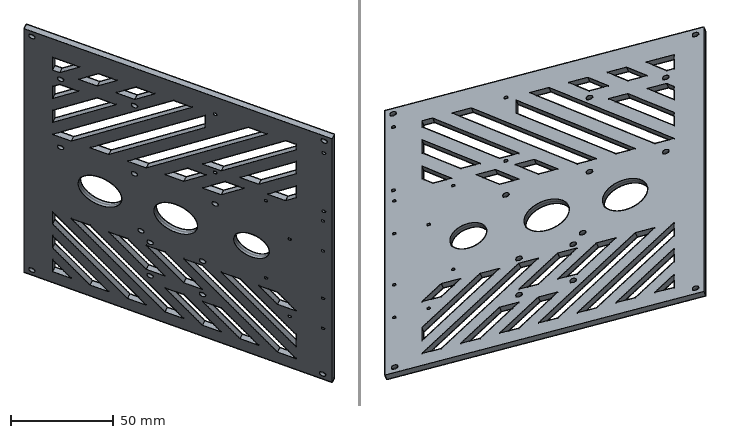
import cadquery as cq

WIDTH = 164.5
THICKNESS = 3.0
HEIGHT = 204.2

VENT_LEFT = -67.0
VENT_WIDTH = 130.0
VENT_RIGHT = VENT_LEFT + VENT_WIDTH
SLOT_WIDTH = 10.0
SLOT_PITCH = 2 * SLOT_WIDTH

UPPER_TOP = 86.5
UPPER_HEIGHT = 64.5
UPPER_BOTTOM = UPPER_TOP - UPPER_HEIGHT
LOWER_TOP = -42.9
LOWER_HEIGHT = 50.0
LOWER_BOTTOM = LOWER_TOP - LOWER_HEIGHT

UPPER_LEFT_BAR_TOP = 76.0
UPPER_LEFT_BAR_BOTTOM = UPPER_LEFT_BAR_TOP - SLOT_WIDTH
UPPER_RIGHT_BAR_TOP = 42.0
UPPER_RIGHT_BAR_BOTTOM = 34.0
LAST_SLOT_BOTTOM = 36.3
LAST_SLOT_WIDTH = 9.5
SHORT_SLOT_RIGHT = 14.5
LOWER_BAR_TOP = LOWER_TOP - 2 * SLOT_WIDTH
LOWER_BAR_BOTTOM = LOWER_BAR_TOP - SLOT_WIDTH
LOWER_CORNER_SLOT_BOTTOM = LOWER_TOP - SLOT_WIDTH

CORNER_HOLE_DIAMETER = 3.3
CORNER_X = 78.0
CORNER_Z = 97.8
LOWER_RIGHT_CORNER_X = 77.2

MOUNT_HOLE_DIAMETER = 3.3
UPPER_MOUNT_X = (-62.7, -23.3)
UPPER_MOUNT_Z = (70.6, 13.5)
LOWER_MOUNT_X = (-15.0, 13.0)
LOWER_MOUNT_Z = (-39.2, -67.2)
SINGLE_MOUNTS = [(19.8, 12.5), (-19.8, -32.3)]

BOARD_HOLE_DIAMETER = 1.9
BOARD_X = (19.8, 77.8)
BOARD_Z = (87.5, 38.8)

PIN_HOLE_DIAMETER = 1.6
PIN_RIGHT_X = 77.4
PIN_OUTER_X = 47.0
PIN_INNER_X = 59.6
PIN_GROUP_TOPS = (30.5, -34.3)
PIN_GROUP_HEIGHT = 25.1

LARGE_PORT_DIAMETER = 23.3
SMALL_PORT_DIAMETER = 19.0
PORT_PITCH = 40.5
PORT_X = -1.2
PORT_Z = -11.5


def prism(points):
    """Prism with the given XZ outline, long enough to cut through the plate."""
    return cq.Workplane("XZ").polyline(points).close().extrude(THICKNESS, both=True)


def vent_slot(start, lean, base, bottom, top, right=VENT_RIGHT, width=SLOT_WIDTH):
    """45 degree slot from bottom to top, trimmed to the sides of its vent field.

    Its left edge is at X = start where Z = base; lean is +1 or -1 for the X drift as Z rises.
    """
    low = start + lean * (bottom - base)
    high = start + lean * (top - base)
    slot = prism([(low, bottom), (low + width, bottom), (high + width, top), (high, top)])
    field = prism([(VENT_LEFT, bottom), (right, bottom), (right, top), (VENT_LEFT, top)])
    return slot.intersect(field)


def upper_slot(index, bottom=UPPER_BOTTOM, top=UPPER_TOP, right=VENT_RIGHT, width=SLOT_WIDTH):
    """Slot number index, counted from the one that starts in the bottom left corner of the field.

    A change of width moves the left edge and leaves the right edge on the regular pitch.
    """
    start = VENT_LEFT + index * SLOT_PITCH + SLOT_WIDTH - width
    return vent_slot(start, 1, UPPER_BOTTOM, bottom, top, right, width)


def lower_slot(index, bottom=LOWER_BOTTOM, top=LOWER_TOP):
    """Slot number index, counted from the one that ends in the top left corner of the field."""
    start = VENT_LEFT - SLOT_WIDTH + index * SLOT_PITCH
    return vent_slot(start, -1, LOWER_TOP, bottom, top)


def upper_vents():
    slots = [upper_slot(-3, bottom=UPPER_LEFT_BAR_TOP, width=2 * SLOT_WIDTH)]
    for index in (-2, -1):
        slots.append(upper_slot(index, bottom=UPPER_LEFT_BAR_TOP))
        slots.append(upper_slot(index, top=UPPER_LEFT_BAR_BOTTOM))
    slots.append(upper_slot(0))
    slots.append(upper_slot(1, right=SHORT_SLOT_RIGHT))
    slots.append(upper_slot(2))
    for index in (3, 4):
        slots.append(upper_slot(index, bottom=UPPER_RIGHT_BAR_TOP))
        slots.append(upper_slot(index, top=UPPER_RIGHT_BAR_BOTTOM))
    slots.append(upper_slot(5, bottom=LAST_SLOT_BOTTOM, width=LAST_SLOT_WIDTH))
    return slots


def lower_vents():
    slots = [lower_slot(index) for index in (-2, -1, 0, 1, 4, 5)]
    for index in (2, 3):
        slots.append(lower_slot(index, bottom=LOWER_BAR_TOP))
        slots.append(lower_slot(index, top=LOWER_BAR_BOTTOM))
    slots.append(lower_slot(6, bottom=LOWER_CORNER_SLOT_BOTTOM))
    return slots


def grid(xs, zs):
    return [(x, z) for x in xs for z in zs]


def drill(plate, diameter, centres):
    holes = cq.Workplane("XZ").pushPoints(centres).circle(diameter / 2).extrude(THICKNESS, both=True)
    return plate.cut(holes)


corner_holes = [
    (-CORNER_X, CORNER_Z),
    (CORNER_X, CORNER_Z),
    (-CORNER_X, -CORNER_Z),
    (LOWER_RIGHT_CORNER_X, -CORNER_Z),
]
mount_holes = grid(UPPER_MOUNT_X, UPPER_MOUNT_Z) + grid(LOWER_MOUNT_X, LOWER_MOUNT_Z) + SINGLE_MOUNTS
pin_holes = []
for group_top in PIN_GROUP_TOPS:
    group_bottom = group_top - PIN_GROUP_HEIGHT
    pin_holes += [(PIN_OUTER_X, group_top), (PIN_INNER_X, group_bottom)]
    pin_holes += grid([PIN_RIGHT_X], [group_top, group_bottom])

result = cq.Workplane("XY").box(WIDTH, THICKNESS, HEIGHT)
for slot in upper_vents() + lower_vents():
    result = result.cut(slot)
result = drill(result, CORNER_HOLE_DIAMETER, corner_holes)
result = drill(result, MOUNT_HOLE_DIAMETER, mount_holes)
result = drill(result, BOARD_HOLE_DIAMETER, grid(BOARD_X, BOARD_Z))
result = drill(result, PIN_HOLE_DIAMETER, pin_holes)
result = drill(result, LARGE_PORT_DIAMETER, [(PORT_X - PORT_PITCH, PORT_Z), (PORT_X, PORT_Z)])
result = drill(result, SMALL_PORT_DIAMETER, [(PORT_X + PORT_PITCH, PORT_Z)])